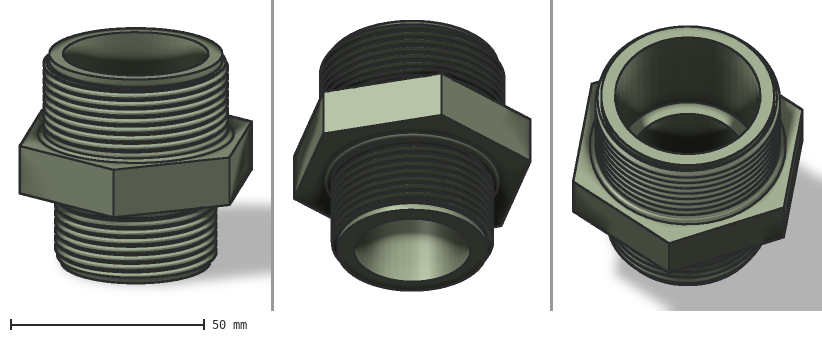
import cadquery as cq
import math

hex_corner_dia = 63.5
hex_turn = 0.35
hex_height = 12.8
end_length = 21.6
hex_face = hex_height / 2
end_face = hex_face + end_length

lip_length = 2.05
thread_end = end_face - lip_length
upper_lip_dia = 44.65
lower_lip_dia = 38.55

thread_turns = 8
thread_rise = 18.5
pitch = thread_rise / thread_turns
thread_depth = 1.4
upper_root_dia = 44.85
lower_root_dia = 38.9
thread_angle = 55
root_embed = 0.1
crest_round = 0.2
upper_crest_z = thread_end + 0.05
lower_crest_z = -thread_end + 0.2

upper_collar_dia = 50.55
lower_collar_dia = 44.95
collar_round_width = 1.4
upper_collar_height = 0.7
lower_collar_height = 1.0

upper_bore_dia = 37.5
lower_bore_dia = 30.0


def cylinder(diameter, z_start, z_end):
    return cq.Workplane("XY").workplane(offset=z_start).circle(diameter / 2).extrude(z_end - z_start)


def hexagon():
    """Hexagonal grip with corners near +Y and -Y."""
    prism = cq.Workplane("XY").polygon(6, hex_corner_dia).extrude(hex_height / 2, both=True)
    return prism.rotate((0, 0, 0), (0, 0, 1), 90 - hex_turn)


def collar(diameter, height, side):
    """Disc on a hexagon face (side is +1 above, -1 below) whose rim rounds down to that face."""
    rim_radius = diameter / 2
    flat_radius = rim_radius - collar_round_width
    return (
        cq.Workplane("XZ")
        .moveTo(0, side * hex_face)
        .lineTo(0, side * (hex_face + height))
        .lineTo(flat_radius, side * (hex_face + height))
        .tangentArcPoint((rim_radius, side * hex_face), relative=False)
        .close()
        .revolve(360, (0, 0), (0, 1))
    )


def thread(root_dia, crest_z, z_start, z_end):
    """Right-hand helical ridge with a crest at crest_z on +X, trimmed flat at z_start and z_end."""
    root_radius = root_dia / 2
    crest_radius = root_radius + thread_depth
    shoulder_radius = crest_radius - crest_round
    base_radius = root_radius - root_embed
    flank_slope = math.tan(math.radians(thread_angle / 2))

    middle_radius = root_radius + thread_depth / 2
    shoulder_half = pitch / 4 - (shoulder_radius - middle_radius) * flank_slope
    base_half = pitch / 4 + (middle_radius - base_radius) * flank_slope

    turns_below = math.ceil((crest_z - z_start) / pitch) + 1
    turns_above = math.ceil((z_end - crest_z) / pitch) + 1
    start_z = crest_z - turns_below * pitch
    helix_height = (turns_below + turns_above) * pitch
    helix = cq.Wire.makeHelix(pitch, helix_height, root_radius, cq.Vector(0, 0, start_z))
    ridge = (
        cq.Workplane("XZ")
        .moveTo(base_radius, start_z - base_half)
        .lineTo(shoulder_radius, start_z - shoulder_half)
        .threePointArc((crest_radius, start_z), (shoulder_radius, start_z + shoulder_half))
        .lineTo(base_radius, start_z + base_half)
        .close()
        .sweep(cq.Workplane(helix), isFrenet=True)
    )
    return ridge.intersect(cylinder(hex_corner_dia, z_start, z_end))


upper_end = (
    cylinder(upper_lip_dia, 0, end_face)
    .union(cylinder(upper_root_dia, 0, thread_end))
    .union(thread(upper_root_dia, upper_crest_z, hex_face, thread_end))
    .union(collar(upper_collar_dia, upper_collar_height, 1))
)
lower_end = (
    cylinder(lower_lip_dia, -end_face, 0)
    .union(cylinder(lower_root_dia, -thread_end, 0))
    .union(thread(lower_root_dia, lower_crest_z, -thread_end, -hex_face))
    .union(collar(lower_collar_dia, lower_collar_height, -1))
)
bore = cylinder(lower_bore_dia, -end_face, end_face).union(cylinder(upper_bore_dia, 0, end_face))

result = hexagon().union(upper_end).union(lower_end).cut(bore)